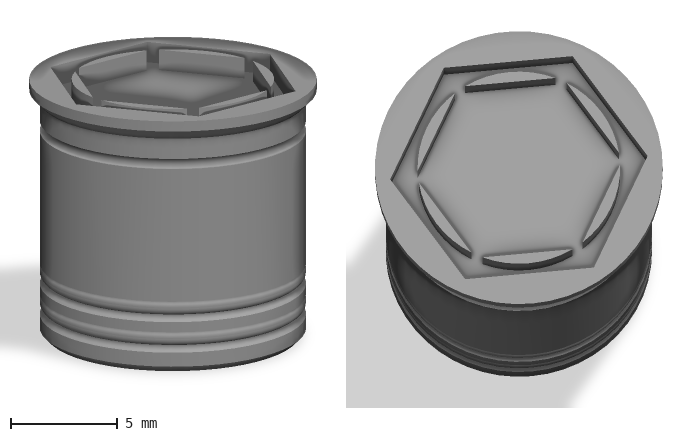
import cadquery as cq
import math

flange_radius = 6.75
height = 12.5
flange_thickness = 0.5
flange_overhang = 0.5
body_radius = flange_radius - flange_overhang
base_chamfer = 0.31

round_groove_drop = 2.0
round_groove_width = 0.5
round_groove_radius = round_groove_width / 2
round_groove_wall = 0.05

seal_groove_base = 1.0
seal_groove_pitch = 1.5
seal_groove_count = 2
seal_groove_width = 1.0
seal_groove_depth = 0.3
seal_floor_radius = body_radius - seal_groove_depth
seal_groove_bases = [seal_groove_base + i * seal_groove_pitch for i in range(seal_groove_count)]

ring_arc_radius = 0.32
ring_flat = 0.1

recess_across_flats = 10.5
recess_depth = 1.0
lug_across_flats = 8.5
lug_outer_radius = 4.75
side_count = 6


def revolve_profile(profile):
    """Turn a closed (radius, Z) outline around the Z axis."""
    return profile.close().revolve(360, (0, 0, 0), (0, 1, 0))


def hexagonal_prism(across_flats):
    """Hexagon of recess depth below the top face, with corners on the Y axis."""
    corner_diameter = across_flats / math.cos(math.pi / side_count)
    return (
        cq.Workplane("XY", origin=(0, 0, height - recess_depth))
        .transformed(rotate=(0, 0, 90))
        .polygon(side_count, corner_diameter)
        .extrude(recess_depth)
    )


def make_blank():
    """Flanged cylinder with a chamfered base."""
    flange_base = height - flange_thickness
    return revolve_profile(
        cq.Workplane("XZ")
        .lineTo(body_radius - base_chamfer, 0)
        .lineTo(body_radius, base_chamfer)
        .lineTo(body_radius, flange_base - flange_overhang)
        .lineTo(flange_radius, flange_base)
        .lineTo(flange_radius, height)
        .lineTo(0, height)
    )


def make_round_groove():
    """Cutter for the round-bottomed groove; two quarter arcs form its bottom."""
    upper_z = height - round_groove_drop
    middle_z = upper_z - round_groove_radius
    lower_z = upper_z - round_groove_width
    center_radius = body_radius - round_groove_wall
    arc_reach = round_groove_radius * math.sqrt(0.5)
    return revolve_profile(
        cq.Workplane("XZ")
        .moveTo(flange_radius, upper_z)
        .lineTo(center_radius, upper_z)
        .threePointArc(
            (center_radius - arc_reach, middle_z + arc_reach),
            (center_radius - round_groove_radius, middle_z),
        )
        .threePointArc(
            (center_radius - arc_reach, middle_z - arc_reach),
            (center_radius, lower_z),
        )
        .lineTo(flange_radius, lower_z)
    )


def make_seal_groove(base_z):
    """Cutter for one seal groove whose lower edge is at base_z."""
    upper_z = base_z + seal_groove_width
    return revolve_profile(
        cq.Workplane("XZ")
        .moveTo(flange_radius, upper_z)
        .lineTo(seal_floor_radius, upper_z)
        .lineTo(seal_floor_radius, base_z + seal_groove_depth)
        .lineTo(body_radius, base_z)
        .lineTo(flange_radius, base_z)
    )


def make_lugs():
    """Segments of a disc left outside a smaller hexagon."""
    disc = (
        cq.Workplane("XY", origin=(0, 0, height - recess_depth))
        .circle(lug_outer_radius)
        .extrude(recess_depth)
    )
    return disc.cut(hexagonal_prism(lug_across_flats))


def make_housing():
    recess = hexagonal_prism(recess_across_flats).cut(make_lugs())
    housing = make_blank().cut(make_round_groove()).cut(recess)
    for base_z in seal_groove_bases:
        housing = housing.cut(make_seal_groove(base_z))
    return housing.solids()


def make_seal_ring(base_z):
    """Ring on the groove floor, against the upper wall and down to the flank."""
    upper_z = base_z + seal_groove_width
    lower_z = base_z + seal_groove_depth
    arc_center = body_radius - ring_arc_radius

    lower_arc_height = math.sqrt(ring_arc_radius**2 - (seal_floor_radius - arc_center) ** 2)
    flat_lower_z = lower_z + lower_arc_height
    flat_upper_z = flat_lower_z + ring_flat

    upper_arc_height = upper_z - flat_upper_z
    upper_arc_end = arc_center + math.sqrt(ring_arc_radius**2 - upper_arc_height**2)

    lower_mid_angle = math.asin(lower_arc_height / ring_arc_radius) / 2
    upper_mid_angle = math.asin(upper_arc_height / ring_arc_radius) / 2
    lower_arc_middle = (
        arc_center + ring_arc_radius * math.cos(lower_mid_angle),
        flat_lower_z - ring_arc_radius * math.sin(lower_mid_angle),
    )
    upper_arc_middle = (
        arc_center + ring_arc_radius * math.cos(upper_mid_angle),
        flat_upper_z + ring_arc_radius * math.sin(upper_mid_angle),
    )
    return revolve_profile(
        cq.Workplane("XZ")
        .moveTo(seal_floor_radius, lower_z)
        .threePointArc(lower_arc_middle, (body_radius, flat_lower_z))
        .lineTo(body_radius, flat_upper_z)
        .threePointArc(upper_arc_middle, (upper_arc_end, upper_z))
        .lineTo(seal_floor_radius, upper_z)
    )


housing = make_housing()
seal_rings = [make_seal_ring(base_z) for base_z in seal_groove_bases]

result = cq.Compound.makeCompound([housing.val(), *[ring.val() for ring in seal_rings]])